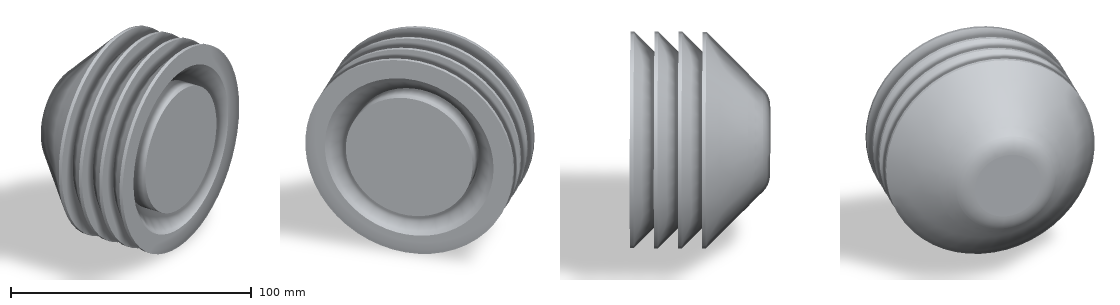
import cadquery as cq
import math

ring_count = 4
rim_radius = 45.0
rim_width = 1.5
total_length = 58.05
ring_pitch = 10.0
nose_round_radius = 10.0
core_radius = 27.45
cone_angle = math.radians(45)

first_rim_back = total_length - (ring_count - 1) * ring_pitch
cone_length = first_rim_back - rim_width

nose_radius = rim_radius - cone_length * math.tan(cone_angle)
nose_length = (core_radius - nose_radius) / math.tan(cone_angle)


def revolve_about_x(profile):
    """Turn a closed profile, drawn as (x, radius), into a solid about the X axis."""
    return profile.close().revolve(360, (0, 0, 0), (1, 0, 0))


def make_core():
    """Solid core: flat nose with a rounded edge, short cone, then a cylinder that carries the rings."""
    tangent_length = nose_round_radius * math.tan(cone_angle / 2)
    flat_radius = nose_radius - tangent_length
    round_mid = (
        nose_round_radius * (1 - math.cos(cone_angle / 2)),
        flat_radius + nose_round_radius * math.sin(cone_angle / 2),
    )
    round_end = (
        tangent_length * math.cos(cone_angle),
        nose_radius + tangent_length * math.sin(cone_angle),
    )
    profile = (
        cq.Workplane("XY")
        .lineTo(0, flat_radius)
        .threePointArc(round_mid, round_end)
        .lineTo(nose_length, core_radius)
        .lineTo(total_length, core_radius)
        .lineTo(total_length, 0)
    )
    return revolve_about_x(profile)


def make_ring(rim_back):
    """Conical ring with a narrow rim; its back cone seats on the front cone of the next ring."""
    front_x = rim_back - rim_width - (rim_radius - core_radius) / math.tan(cone_angle)
    back_step_radius = rim_radius - (ring_pitch - rim_width) * math.tan(cone_angle)
    profile = (
        cq.Workplane("XY")
        .moveTo(front_x, core_radius)
        .lineTo(rim_back - rim_width, rim_radius)
        .lineTo(rim_back, rim_radius)
        .lineTo(rim_back, back_step_radius)
        .lineTo(front_x + ring_pitch, core_radius)
    )
    return revolve_about_x(profile)


core = make_core()
rings = [make_ring(first_rim_back + i * ring_pitch) for i in range(ring_count)]

result = cq.Compound.makeCompound([core.val(), *[ring.val() for ring in rings]])